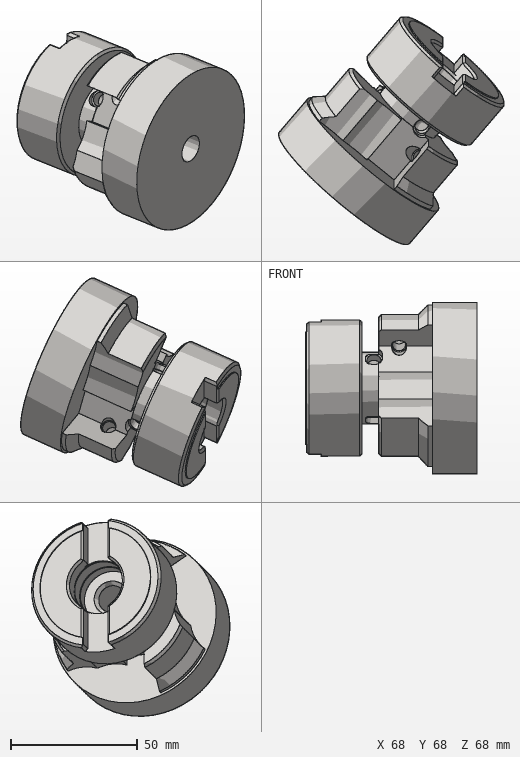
import cadquery as cq
import math


head_radius = 27.0
pad_radius = 23.0
pad_height = 0.5
head_end = 22.5
head_chamfer = 1.0
slot_half_width = 5.1
slot_floor = 6.25
slot_chamfer = 0.85
corner_chamfer = 1.1

neck_radius = 14.25

body_start = 29.0
lug_radius = 29.2
lug_chamfer = 1.1
ramp_start = 44.75
shoulder_radius = 33.0
ramp_end = ramp_start + shoulder_radius - lug_radius

flange_radius = 34.0
flange_start = 50.3
length = 68.0

recess_radius = 11.0
recess_depth = 20.0
relief_start = 7.6
relief_end = 14.8
relief_step = 0.3
bore_radius = 5.5
mouth_chamfer = 1.0
countersink = 1.45

lug_count = 3
lug_pitch = 360 / lug_count
valley_angle = 30.0
pocket_wall = -10.95
pocket_floor = 14.4
pocket_width = 14.0
scallop_level = 18.1
scallop_width = 12.4
scallop_depth = 1.1
valley_outer = flange_radius + 6.0

corner_hole_x = 37.1
corner_hole_radius = 2.6
corner_hole_depth = 13.0
corner_mouth_radius = 3.0
corner_mouth_depth = 2.0
corner_mouth_lead = 6.0
corner_hole_tilt = 45.0

neck_hole_x = 27.15
neck_hole_angle = 25.0
neck_hole_offset = -5.0
neck_hole_radius = 2.8
neck_hole_floor = 8.0
neck_mouth_side = 6.9
neck_mouth_corner = 3.05
neck_mouth_floor = 11.9
neck_mouth_top = 18.0

drill_half_angle = math.radians(59)


def turned(shape, angle):
    """The shape turned about the part's axis, from +Y towards +Z."""
    return shape.rotate((0, 0, 0), (1, 0, 0), angle)


def turned_blank():
    """The full turned shape, before any cutting."""
    outline = [
        (0, 0),
        (0, pad_radius),
        (pad_height, pad_radius),
        (pad_height, head_radius - head_chamfer),
        (pad_height + head_chamfer, head_radius),
        (head_end - head_chamfer, head_radius),
        (head_end, head_radius - head_chamfer),
        (head_end, neck_radius),
        (body_start, neck_radius),
        (body_start, lug_radius - lug_chamfer),
        (body_start + lug_chamfer, lug_radius),
        (ramp_start, lug_radius),
        (ramp_end, shoulder_radius),
        (flange_start, shoulder_radius),
        (flange_start, flange_radius),
        (length, flange_radius),
        (length, 0),
    ]
    return cq.Workplane("XZ").polyline(outline).close().revolve(360, (0, 0, 0), (1, 0, 0))


def central_bore():
    """Recess in the head, then a countersunk hole through the part."""
    outline = [
        (0, 0),
        (0, recess_radius + mouth_chamfer),
        (mouth_chamfer, recess_radius),
        (relief_start, recess_radius),
        (relief_start, recess_radius + relief_step),
        (relief_end, recess_radius + relief_step),
        (relief_end, recess_radius),
        (recess_depth, recess_radius),
        (recess_depth, bore_radius + countersink),
        (recess_depth + countersink, bore_radius),
        (length, bore_radius),
        (length, 0),
    ]
    return cq.Workplane("XZ").polyline(outline).close().revolve(360, (0, 0, 0), (1, 0, 0))


def head_slot():
    """Slot along Z across the head, chamfered where it meets the front, the rim and the bore."""
    flare = slot_half_width + slot_chamfer
    front = [
        (0, -flare),
        (slot_chamfer, -slot_half_width),
        (slot_chamfer, slot_half_width),
        (0, flare),
    ]
    slot = cq.Workplane("XY").polyline(front).close().extrude(head_radius, both=True)

    side = slot_half_width + corner_chamfer
    bore_edge = math.sqrt(recess_radius**2 - side**2)
    rim_edge = math.sqrt(head_radius**2 - side**2)
    outside = head_radius - rim_edge
    right_side = [
        (side, 0),
        (side, bore_edge),
        (slot_half_width, bore_edge + corner_chamfer),
        (slot_half_width, rim_edge - corner_chamfer),
        (side + outside, rim_edge + outside),
    ]
    left_side = [(-y, z) for y, z in reversed(right_side)]
    for end in (0, 180):
        half = cq.Workplane("YZ").polyline(right_side + left_side).close().extrude(slot_floor)
        slot = slot.union(turned(half, end))
    return slot


def valley():
    """Pocket and two scallops that separate one lug from the next."""
    step_edge = pocket_wall + pocket_width
    ridge = step_edge + scallop_width
    scallop_end = ridge + scallop_width
    scallop_bottom = scallop_level - scallop_depth
    return (
        cq.Workplane("YZ", origin=(body_start, 0, 0))
        .moveTo(valley_outer, pocket_wall)
        .lineTo(pocket_floor, pocket_wall)
        .lineTo(pocket_floor, step_edge)
        .lineTo(scallop_level, step_edge)
        .threePointArc((scallop_bottom, step_edge + scallop_width / 2), (scallop_level, ridge))
        .threePointArc((scallop_bottom, ridge + scallop_width / 2), (scallop_level, scallop_end))
        .lineTo(valley_outer, scallop_end)
        .close()
        .extrude(flange_start - body_start)
    )


def corner_hole():
    """Drilled hole with a wider mouth, running into the corner of a pocket."""
    taper = corner_mouth_radius - corner_hole_radius
    tip = corner_hole_radius / math.tan(drill_half_angle)
    outline = [
        (corner_hole_depth + tip, 0),
        (corner_hole_depth, corner_hole_radius),
        (corner_mouth_depth + taper, corner_hole_radius),
        (corner_mouth_depth, corner_mouth_radius),
        (-corner_mouth_lead, corner_mouth_radius),
        (-corner_mouth_lead, 0),
    ]
    drill = cq.Workplane("XY").polyline(outline).close().revolve(360, (0, 0, 0), (1, 0, 0))
    pointing_inward = drill.rotate((0, 0, 0), (0, 0, 1), -90)
    into_corner = turned(pointing_inward, corner_hole_tilt)
    return into_corner.translate((corner_hole_x, pocket_floor, pocket_wall))


def neck_hole():
    """Drilled hole set off-centre in the neck, with a rounded square mouth."""
    mouth = (
        cq.Workplane("XZ", origin=(neck_hole_x, neck_mouth_top, 0))
        .rect(neck_mouth_side, neck_mouth_side)
        .extrude(neck_mouth_top - neck_mouth_floor)
        .edges("|Y")
        .fillet(neck_mouth_corner)
    )
    tip = neck_hole_radius / math.tan(drill_half_angle)
    outline = [
        (0, neck_hole_floor - tip),
        (neck_hole_radius, neck_hole_floor),
        (neck_hole_radius, neck_mouth_floor),
        (0, neck_mouth_floor),
    ]
    drill = cq.Workplane("XY").polyline(outline).close().revolve(360, (0, 0, 0), (0, 1, 0))
    hole = mouth.union(drill.translate((neck_hole_x, 0, 0)))
    return hole.translate((0, 0, neck_hole_offset))


result = turned_blank().cut(head_slot()).cut(central_bore())
for lug in range(lug_count):
    turn = lug * lug_pitch
    result = result.cut(turned(valley(), valley_angle + turn))
    result = result.cut(turned(corner_hole(), valley_angle + turn))
    result = result.cut(turned(neck_hole(), neck_hole_angle + turn))